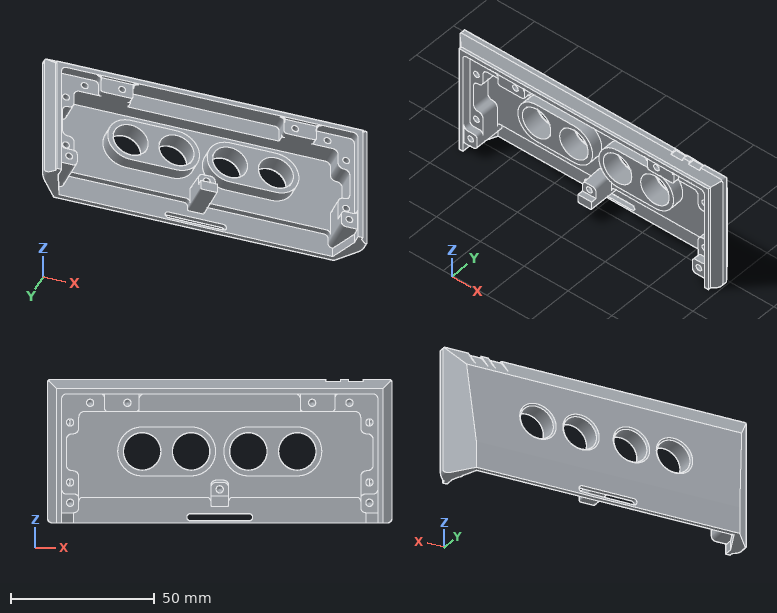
import cadquery as cq
import math

length = 120.0
depth = 16.0
height = 50.0
half_length = length / 2
rim_inset = 3.1
rim_depth = 1.2
edge_front = 4.1
edge_back = 6.1
fold_y = 13.1
fold_z = 41.4
back_slope_start_z = 10.2
side_bevel_inset = 7.9
back_run = fold_z - back_slope_start_z
back_rise = depth - fold_y
top_corner_radius = 1.1
bottom_corner_radius = 1.8

opening_half = 55.1
opening_top = 45.0
corner_block_y = 0.6
top_block_y = 1.2
ledge_y = 3.7
top_ledge_y = 6.2
cavity_y = 11.4
lower_pocket_y = 13.9

cavity_top = 38.9
cavity_half = 53.4
pad_half = 49.1
upper_pad_bottom = 31.1
lower_pad_top = 18.2
lower_pad_bottom = 3.6
corner_block_top = 10.1
top_block_inner = 28.1
top_block_outer = 40.1
lower_pocket_top = 9.0
corner_radius = 1.8
pad_radius = 2.0
small_radius = 1.5
block_corner_radius = 1.0
joint_overlap = 0.6
lower_end_inset = 4.2

tube_hole_diameter = 13.0
tube_hole_xs = (10.0, 27.0)
tube_z = 25.0
tube_wall = 2.0
tube_front_y = 6.5
hole_chamfer = 0.7

post_half = 3.1
post_bottom = 5.8
post_top = 14.2
post_lip_top = 9.5
post_face_y = 3.0
post_lip_y = 0.6
post_foot_radius = 0.6
post_screw_z = 11.8

slot_length = 22.8
slot_height = 2.4
slot_z = 2.0

notch_starts = (37.0, 44.9)
notch_width = 5.0
notch_depth = 0.7
notch_back_y = 11.2

screw_diameter = 2.5
screw_depth = 6.0
drill_tip_angle = 118.0
screw_places = [
    (32.2, top_block_y, 41.9, False),
    (45.1, ledge_y, 41.9, False),
    (52.1, ledge_y, 35.0, True),
    (52.1, ledge_y, 14.2, True),
    (52.1, corner_block_y, 7.1, False),
]


def mirrored(half_points):
    """Complete an outline whose -X half is given."""
    other_half = [(-x, z, r) for x, z, r in reversed(half_points)]
    return half_points + other_half


def prism_along_y(corners, end_y):
    """Prism from Y = 0 to end_y on an XZ outline of (x, z, corner radius)."""
    prism = (
        cq.Workplane("XZ")
        .polyline([(x, z) for x, z, _ in corners])
        .close()
        .extrude(-end_y)
    )
    for x, z, radius in corners:
        if radius > 0:
            edge_middle = (x, end_y / 2, z)
            prism = prism.edges("|Y").edges(cq.NearestToPointSelector(edge_middle)).fillet(radius)
    return prism


def box(x_range, y_range, z_range):
    sizes = [high - low for low, high in (x_range, y_range, z_range)]
    return cq.Workplane("XY").box(*sizes, centered=False).translate((x_range[0], y_range[0], z_range[0]))


def outer_body():
    rim_top = height - rim_inset
    side_profile = (
        cq.Workplane("YZ", origin=(-half_length, 0, 0))
        .polyline([
            (0, 0),
            (0, rim_top),
            (rim_depth, rim_top),
            (edge_front, height),
            (edge_back, height),
            (fold_y, fold_z),
            (depth, back_slope_start_z),
            (depth, 0),
        ])
        .close()
        .extrude(length)
    )
    half_plan = [
        (half_length - rim_inset, 0),
        (half_length - rim_inset, rim_depth),
        (half_length, edge_front),
        (half_length, edge_back),
        (half_length - side_bevel_inset, depth),
    ]
    plan = half_plan + [(-x, y) for x, y in reversed(half_plan)]
    plan_prism = cq.Workplane("XY").polyline(plan).close().extrude(height)
    front_outline = prism_along_y(mirrored([
        (-half_length, height, top_corner_radius),
        (-half_length, 0, bottom_corner_radius),
    ]), depth)
    return side_profile.intersect(plan_prism).intersect(front_outline)


def opening():
    return prism_along_y(mirrored([
        (-opening_half, opening_top, corner_radius),
        (-opening_half, 0, 0),
    ]), corner_block_y)


def ledge_pocket():
    return prism_along_y(mirrored([
        (-top_block_inner, opening_top, corner_radius),
        (-top_block_inner, cavity_top, block_corner_radius),
        (-top_block_outer, cavity_top, block_corner_radius),
        (-top_block_outer, opening_top, small_radius),
        (-opening_half, opening_top, corner_radius),
        (-opening_half, corner_block_top, corner_radius),
        (-pad_half, corner_block_top, small_radius),
        (-pad_half, 0, 0),
    ]), ledge_y)


def top_ledge_pocket():
    return prism_along_y(mirrored([
        (-top_block_inner, opening_top, corner_radius),
        (-top_block_inner, cavity_top, 0),
    ]), top_ledge_y)


def main_cavity():
    return prism_along_y(mirrored([
        (-pad_half, cavity_top, pad_radius),
        (-pad_half, upper_pad_bottom, pad_radius),
        (-cavity_half, upper_pad_bottom, pad_radius),
        (-cavity_half, lower_pad_top, pad_radius),
        (-pad_half, lower_pad_top, pad_radius),
        (-pad_half, 0, 0),
    ]), cavity_y)


def lower_pocket():
    """Pocket along the open bottom; its ends lean inwards behind the ledge."""
    outline = prism_along_y(mirrored([
        (-post_half, post_bottom, post_foot_radius),
        (-post_half, lower_pocket_top, small_radius),
        (-pad_half, lower_pocket_top, small_radius),
        (-pad_half, lower_pad_bottom, corner_radius),
        (-opening_half, lower_pad_bottom, 0),
        (-opening_half, 0, 0),
    ]), lower_pocket_y)
    half_plan = [
        (opening_half, 0),
        (opening_half, ledge_y),
        (opening_half - lower_end_inset, lower_pocket_y),
    ]
    plan = half_plan + [(-x, y) for x, y in reversed(half_plan)]
    return outline.intersect(cq.Workplane("XY").polyline(plan).close().extrude(height))


def tube_pair(side):
    """Raised oblong around two neighbouring holes."""
    spacing = tube_hole_xs[1] - tube_hole_xs[0]
    width = tube_hole_diameter + 2 * tube_wall
    centre_x = side * sum(tube_hole_xs) / 2
    return (
        cq.Workplane("XZ", origin=(centre_x, tube_front_y, tube_z))
        .slot2D(spacing + width, width)
        .extrude(tube_front_y - cavity_y - joint_overlap)
    )


def tube_hole(x):
    """Through hole with a chamfer on the sloping back face."""
    radius = tube_hole_diameter / 2
    hole = cq.Workplane("XZ", origin=(x, 0, tube_z)).circle(radius).extrude(-depth)
    back_y = fold_y + (fold_z - tube_z) * back_rise / back_run
    cone = cq.Solid.makeCone(
        radius + hole_chamfer, radius, hole_chamfer,
        pnt=cq.Vector(x, back_y, tube_z), dir=cq.Vector(0, -back_run, -back_rise),
    )
    return hole.union(cq.Workplane(cone))


def centre_post():
    """Post square to the sloping back, with a lip in front of its screw face."""
    reach = cavity_y + joint_overlap - post_face_y
    round_start = post_half - corner_radius
    shoulder_z = post_top - corner_radius
    outline = (
        cq.Workplane("XZ", origin=(0, post_face_y, 0))
        .moveTo(-post_half, post_lip_top)
        .lineTo(-post_half, shoulder_z)
        .radiusArc((-round_start, post_top), corner_radius)
        .lineTo(round_start, post_top)
        .radiusArc((post_half, shoulder_z), corner_radius)
        .lineTo(post_half, post_lip_top)
        .close()
        .val()
    )
    top = cq.Workplane(cq.Solid.extrudeLinear(outline, [], cq.Vector(0, reach, reach * back_rise / back_run)))
    base = box((-post_half, post_half), (post_lip_y, lower_pocket_y + joint_overlap), (post_bottom, post_lip_top))
    base = base.edges("|Y").edges("<Z").fillet(post_foot_radius)
    middle = box((-post_half, post_half), (post_face_y, cavity_y + joint_overlap), (post_lip_top, shoulder_z))
    return top.union(base).union(middle)


def screw_hole(x, face_y, z, outboard_tip_only=False):
    """Blind hole along Y with a drill point, optionally only on the half away from X = 0."""
    radius = screw_diameter / 2
    floor_y = face_y + screw_depth
    bore = cq.Workplane("XZ", origin=(x, face_y, z)).circle(radius).extrude(-screw_depth)
    tip_length = radius / math.tan(math.radians(drill_tip_angle / 2))
    tip = cq.Workplane(cq.Solid.makeCone(
        radius, 0, tip_length,
        pnt=cq.Vector(x, floor_y, z), dir=cq.Vector(0, 1, 0),
    ))
    if outboard_tip_only:
        x_range = sorted((x, x + math.copysign(radius, x)))
        tip = tip.intersect(box(x_range, (floor_y, floor_y + tip_length), (z - radius, z + radius)))
    return bore.union(tip)


def notch(start_x):
    """Shallow step in the top edge that fades out down the top bevel."""
    bevel_drop = (height - fold_z) / (fold_y - edge_back)
    exit_z = height - (notch_back_y - edge_back) * bevel_drop
    floor_z = height - notch_depth
    return (
        cq.Workplane("YZ", origin=(start_x, 0, 0))
        .polyline([
            (0, floor_z),
            (edge_back, floor_z),
            (notch_back_y, exit_z),
            (notch_back_y, height),
            (0, height),
        ])
        .close()
        .extrude(notch_width)
    )


result = outer_body()

for cavity in (opening(), ledge_pocket(), top_ledge_pocket(), main_cavity(), lower_pocket()):
    result = result.cut(cavity)

for side in (-1, 1):
    block_ends = sorted((side * top_block_inner, side * top_block_outer))
    result = result.cut(box(block_ends, (0, top_block_y), (cavity_top, opening_top)))

for side in (-1, 1):
    result = result.union(tube_pair(side))
result = result.union(centre_post())

for side in (-1, 1):
    for x in tube_hole_xs:
        result = result.cut(tube_hole(side * x))

slot = cq.Workplane("XZ", origin=(0, 0, slot_z)).slot2D(slot_length, slot_height).extrude(-depth)
result = result.cut(slot)

for start_x in notch_starts:
    result = result.cut(notch(start_x))

for x, face_y, z, half_tip in screw_places:
    for side in (-1, 1):
        result = result.cut(screw_hole(side * x, face_y, z, half_tip))
result = result.cut(screw_hole(0, post_face_y, post_screw_z))